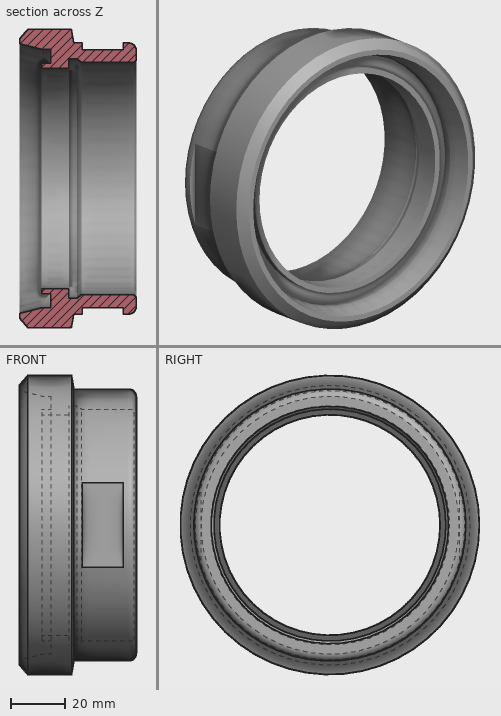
import cadquery as cq
import math

length = 43.0
flange_diameter = 110.0
body_diameter = 100.0

front_face_diameter = 102.8
front_chamfer_length = 3.1
flange_length = 20.0
flange_back_angle = 10.0

rear_fillet = 3.0

mouth_diameter = 99.0
mouth_depth = 8.4
groove_outer_diameter = 94.8
groove_depth = 3.1
lip_diameter = 85.0
lip_depth = 8.1

bore_diameter = 81.0
bore_end = 18.2
recess_diameter = 87.9
recess_length = 3.0
recess_taper_length = 1.6
rear_bore_diameter = 85.2
rear_bore_chamfer = 1.0

flat_spacing = 95.0
flat_start = 23.1
flat_length = 15.0


def make_ring():
    """Revolve the half section, drawn as (x, radius), around the X axis."""
    flange_radius = flange_diameter / 2
    body_radius = body_diameter / 2
    bore_radius = bore_diameter / 2
    rear_bore_radius = rear_bore_diameter / 2
    back_setback = (flange_radius - body_radius) * math.tan(math.radians(flange_back_angle))
    groove_floor = mouth_depth + groove_depth
    recess_end = bore_end + recess_length

    section = [
        (0, front_face_diameter / 2),
        (front_chamfer_length, flange_radius),
        (flange_length - back_setback, flange_radius),
        (flange_length, body_radius),
        (length, body_radius),
        (length, rear_bore_radius + rear_bore_chamfer),
        (length - rear_bore_chamfer, rear_bore_radius),
        (recess_end + recess_taper_length, rear_bore_radius),
        (recess_end, recess_diameter / 2),
        (bore_end, recess_diameter / 2),
        (bore_end, bore_radius),
        (lip_depth, bore_radius),
        (lip_depth, lip_diameter / 2),
        (groove_floor, lip_diameter / 2),
        (groove_floor, groove_outer_diameter / 2),
        (mouth_depth, groove_outer_diameter / 2),
        (0, mouth_diameter / 2),
    ]
    return cq.Workplane("XY").polyline(section).close().revolve(360, (0, 0, 0), (1, 0, 0))


def round_rear_edge(ring):
    """Round the outer edge of the rear face."""
    return ring.faces(">X").edges(cq.selectors.RadiusNthSelector(-1)).fillet(rear_fillet)


def make_flat_cutter(side):
    """Block that removes the body beyond one flat; side is +1 or -1 along Y."""
    cut_depth = flange_diameter / 2 - flat_spacing / 2
    center = (flat_start + flat_length / 2, side * (flat_spacing + cut_depth) / 2, 0)
    return cq.Workplane("XY").box(flat_length, cut_depth, flange_diameter).translate(center)


result = round_rear_edge(make_ring())
for side in (1, -1):
    result = result.cut(make_flat_cutter(side))